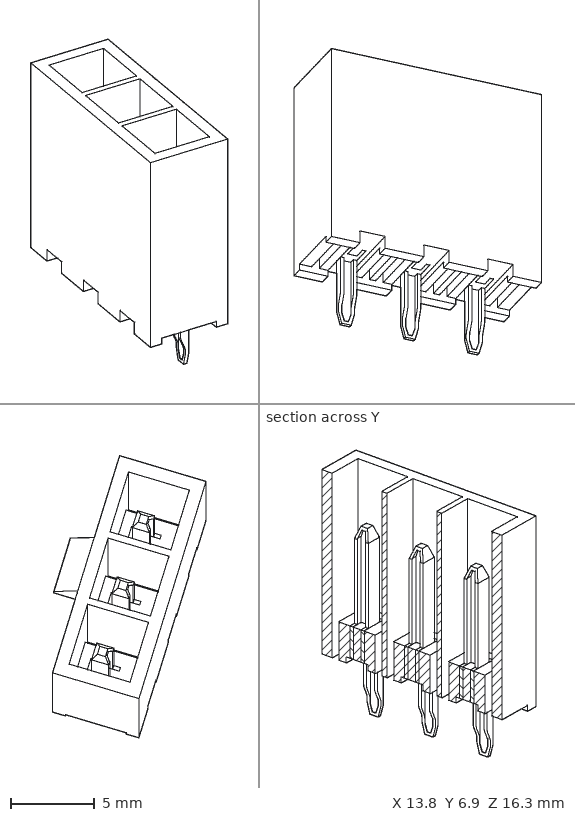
import cadquery as cq

circuits = 3
pitch = 4.2
outer_wall = 0.8
divider = 0.4
pocket_size = pitch - divider
housing_length = circuits * pitch - divider + 2 * outer_wall
housing_depth = pocket_size + 2 * outer_wall
housing_height = 12.8
floor_top = 3.0
vent_width = 0.5
recess_height = 0.4
notch_width = 1.65
notch_height = 0.8

latch_width = 3.4
latch_reach = 1.5
latch_height = 3.0
latch_lip = 0.5

pin_width = 1.07
pin_bottom = -3.5
pin_top = 9.5
pin_taper_length = 0.8
pin_tail_tip_width = 0.64
pin_mating_tip_width = 0.5

pin_base_depth = 1.85
pin_setback = 1.41
pin_base_back = housing_depth / 2 - pin_setback
pin_base_front = pin_base_back - pin_base_depth
back_shoulder = 0.37
pin_mating_back = pin_base_back - back_shoulder

tail_depth = 0.57
tail_plate = 0.24
tail_ramp_top = pin_bottom + 1.94
tail_ramp_bottom = pin_bottom + 1.2
tail_bend_radius = 0.65

pin_wall = 0.23
channel_end_wall = 0.21
channel_tip_width = 0.26
channel_taper_length = 0.52
tail_recess = 0.04
tail_channel_back = pin_base_back - tail_plate + tail_recess
channel_depth = tail_depth - tail_plate + tail_recess

pocket_centres = [(i - (circuits - 1) / 2) * pitch for i in range(circuits)]


def block(x_size, y_min, y_max, z_min, z_max, x_centre=0.0):
    """Box centred on x_centre in X, between the given Y and Z limits."""
    box = cq.Workplane("XY").box(x_size, y_max - y_min, z_max - z_min, centered=(True, False, False))
    return box.translate((x_centre, y_min, z_min))


def side_profile(points, width):
    """Closed (Y, Z) outline extruded symmetrically in X."""
    return cq.Workplane("YZ").polyline(points).close().extrude(width / 2, both=True)


def tapered_blade(width, z_min, z_max, bottom_tip_width, top_tip_width, taper_length):
    """Blade outlined in X and Z, tapered at both ends, reaching forward in Y from the pin's back."""
    half = width / 2
    right_side = [
        (bottom_tip_width / 2, z_min),
        (half, z_min + taper_length),
        (half, z_max - taper_length),
        (top_tip_width / 2, z_max),
    ]
    left_side = [(-x, z) for x, z in reversed(right_side)]
    plane = cq.Workplane("XZ", origin=(0, pin_base_back, 0))
    return plane.polyline(right_side + left_side).close().extrude(pin_base_depth)


def pin_side():
    """Side (Y, Z) shape: bent tail, deep shoulder in the floor and tapered mating end."""
    mating_front = pin_mating_back - pin_width
    tip_inset = (pin_width - pin_mating_tip_width) / 2
    taper_start = pin_top - pin_taper_length
    tail_front = pin_base_back - tail_depth
    plate_front = pin_base_back - tail_plate
    tail = side_profile(
        [
            (pin_base_back, pin_bottom),
            (pin_base_back, notch_height),
            (tail_front, notch_height),
            (tail_front, tail_ramp_top),
            (plate_front, tail_ramp_bottom),
            (plate_front, pin_bottom),
        ],
        pin_width,
    )
    for corner in ((0, tail_front, tail_ramp_top), (0, plate_front, tail_ramp_bottom)):
        tail = tail.edges(cq.selectors.NearestToPointSelector(corner)).fillet(tail_bend_radius)
    base = block(pin_width, pin_base_front, pin_base_back, notch_height, floor_top)
    mating = side_profile(
        [
            (pin_mating_back, floor_top),
            (pin_mating_back, taper_start),
            (pin_mating_back - tip_inset, pin_top),
            (mating_front + tip_inset, pin_top),
            (mating_front, taper_start),
            (mating_front, floor_top),
        ],
        pin_width,
    )
    return tail.union(base).union(mating)


def pin_channel():
    """Open-fronted channel, equally deep in the tail and mating end, with tapered closed ends."""
    blade = tapered_blade(
        pin_width - 2 * pin_wall,
        pin_bottom + channel_end_wall,
        pin_top - channel_end_wall,
        channel_tip_width,
        channel_tip_width,
        channel_taper_length,
    )
    mating_channel_back = pin_mating_back - pin_width + channel_depth
    tail_zone = block(pin_width, pin_base_front, tail_channel_back, pin_bottom, notch_height)
    mating_zone = block(pin_width, pin_base_front, mating_channel_back, notch_height, pin_top)
    return blade.intersect(tail_zone.union(mating_zone))


def make_pin():
    """Side shape trimmed to the front outline, with the channel cut into its front."""
    blade = tapered_blade(
        pin_width, pin_bottom, pin_top, pin_tail_tip_width, pin_mating_tip_width, pin_taper_length
    )
    return pin_side().intersect(blade).cut(pin_channel())


def make_housing():
    half_depth = housing_depth / 2
    half_pocket = pocket_size / 2
    body = block(housing_length, -half_depth, half_depth, 0, housing_height)
    latch = side_profile(
        [
            (half_depth, housing_height),
            (half_depth + latch_reach, housing_height - latch_height + latch_lip),
            (half_depth + latch_reach, housing_height - latch_height),
            (half_depth, housing_height - latch_height),
        ],
        latch_width,
    )
    body = body.union(latch)
    body = body.cut(block(housing_length, -half_pocket, half_pocket, 0, recess_height))
    vent_offset = (pocket_size - vent_width) / 2
    for x in pocket_centres:
        body = body.cut(block(pocket_size, -half_pocket, half_pocket, floor_top, housing_height, x))
        body = body.cut(block(notch_width, -half_depth, half_depth, 0, notch_height, x))
        for side in (-1, 1):
            vent_x = x + side * vent_offset
            body = body.cut(block(vent_width, -half_pocket, half_pocket, 0, floor_top, vent_x))
    return body


pin = make_pin()
pins = [pin.translate((x, 0, 0)) for x in pocket_centres]

housing = make_housing()
for placed_pin in pins:
    housing = housing.cut(placed_pin)

result = cq.Compound.makeCompound([housing.val(), *[placed_pin.val() for placed_pin in pins]])